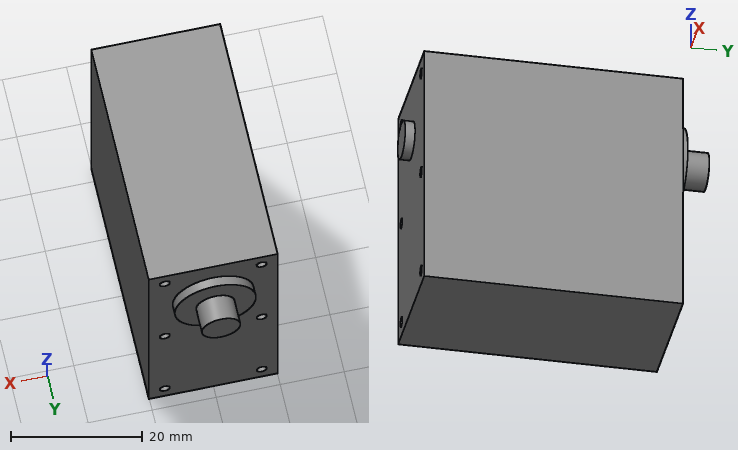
import cadquery as cq

width = 20.15
height = 40.4
overall_depth = 47.3

shaft_diameter = 6.0
shaft_height = 10.15
stub_length = 1.5
collar_diameter = 12.7
collar_thickness = 1.5
output_length = 4.0
depth = overall_depth - stub_length - collar_thickness - output_length

hole_diameter = 1.55
hole_columns = 2
hole_rows = 3
hole_column_spacing = 15.15
hole_row_spacing = 17.7

front_y = -depth / 2
back_y = depth / 2


def shaft_cylinder(diameter, start_y, length):
    """Cylinder on the shaft axis, running from start_y toward +Y."""
    base = cq.Workplane("XZ", origin=(0, start_y, shaft_height))
    return base.circle(diameter / 2).extrude(-length)


block = cq.Workplane("XY").box(width, depth, height)
stub = shaft_cylinder(shaft_diameter, front_y - stub_length, stub_length)
collar = shaft_cylinder(collar_diameter, back_y, collar_thickness)
output = shaft_cylinder(shaft_diameter, back_y + collar_thickness, output_length)

holes = (
    cq.Workplane("XZ", origin=(0, front_y, 0))
    .rarray(hole_column_spacing, hole_row_spacing, hole_columns, hole_rows)
    .circle(hole_diameter / 2)
    .extrude(-depth)
)

result = block.union(stub).union(collar).union(output).cut(holes)